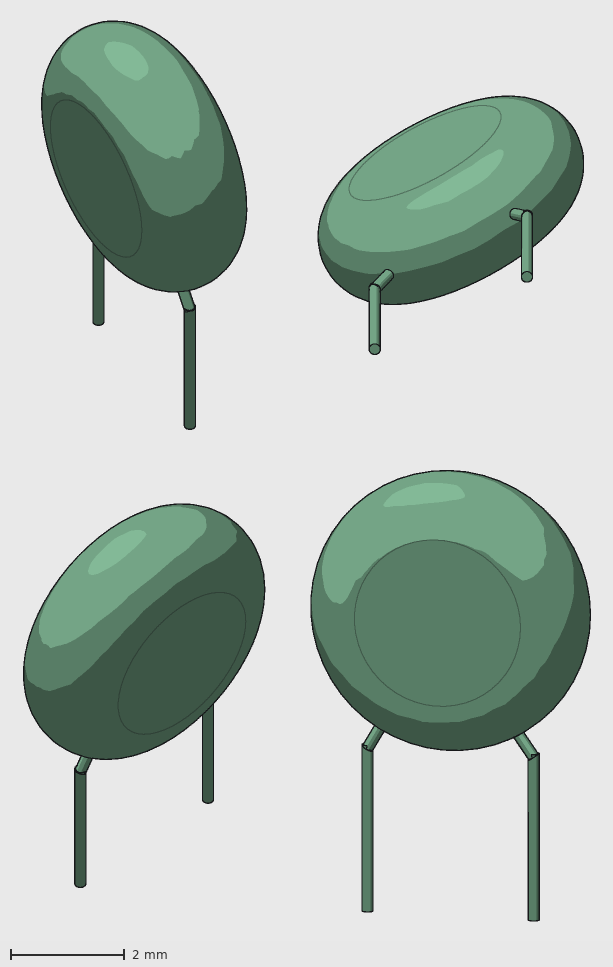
import cadquery as cq
import math

disc_diameter = 5.0
disc_thickness = 2.0
total_height = 8.0
disc_radius = disc_diameter / 2
rim_radius = disc_thickness / 2
face_radius = disc_radius - rim_radius
disc_center_z = total_height - disc_radius

wire_diameter = 0.2
wire_radius = wire_diameter / 2
lead_spacing = 3.0
lead_length = 3.0
left_lean = 30.0
right_lean = 35.0
seat_depth = 0.06


def make_disc():
    """Disc with flat round faces and a fully rounded rim."""
    return (
        cq.Workplane("XY")
        .moveTo(0, -rim_radius)
        .lineTo(face_radius, -rim_radius)
        .threePointArc((disc_radius, 0), (face_radius, rim_radius))
        .lineTo(0, rim_radius)
        .close()
        .revolve(360, (0, 0), (0, 1))
        .translate((0, 0, disc_center_z))
    )


def make_leaning_wire(side, lean, disc):
    """Wire leaning inward from the top of a straight lead, ending on the rim of the disc."""
    lean_sin = math.sin(math.radians(lean))
    lean_cos = math.cos(math.radians(lean))
    start = cq.Vector(side * lead_spacing / 2, 0, lead_length - seat_depth)
    axis = cq.Vector(-side * lean_sin, 0, lean_cos)
    uncut_length = rim_radius
    wire = cq.Solid.makeCylinder(wire_radius, uncut_length, start, axis)
    return cq.Workplane(wire).cut(disc)


def make_straight_lead(side, leaning_wire):
    """Vertical lead with a seat for the lower end of its leaning wire."""
    lead = cq.Workplane("XY").center(side * lead_spacing / 2, 0).circle(wire_radius).extrude(lead_length)
    return lead.cut(leaning_wire)


disc = make_disc()
leaning_wires = []
straight_leads = []
for side, lean in ((-1, left_lean), (1, right_lean)):
    leaning_wire = make_leaning_wire(side, lean, disc)
    leaning_wires.append(leaning_wire.val())
    straight_leads.append(make_straight_lead(side, leaning_wire).val())

result = cq.Compound.makeCompound([disc.val(), *leaning_wires, *straight_leads])